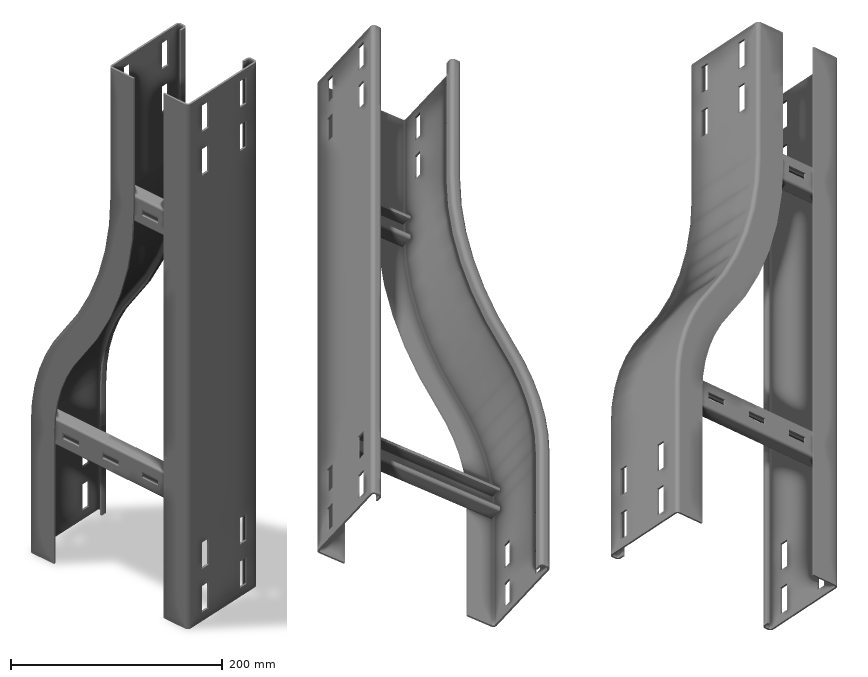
import cadquery as cq
import math

length = 600.0
width = length / 3
depth = length / 6

sheet = 2.0
bend_radius = 2 * sheet

front_flange = 31.0
back_flange = 11.5
return_lip = 9.0

straight_length = 150.0
rail_offset = width / 2
lower_bend_radius = 200.0

rail_slot_length = 30.0
rail_slot_width = 9.5
rail_slot_rows = 2
rail_slot_pitch = 50.0
rail_slot_end_gap = 10.0
front_slot_inset = 24.5
back_slot_inset = 21.0

bar_height = 30.0
bar_depth = 15.5
bar_lip = 5.0
bar_bend_radius = 2.15
bar_end_gap = 3.0
bar_slot_length = 20.5
bar_slot_width = 7.0
bar_slot_pitch = 50.0
lower_bar_slots = 3
upper_bar_slots = 1

left_face = -width / 2
right_face = width / 2
front_face = -depth / 2
back_face = depth / 2
bar_front = front_face + sheet
upper_bar_z = length - straight_length
lower_bar_z = straight_length


def folded_section(workplane, outer_points, outer_radius):
    """Closed outline of a sheet folded through right angles, always turning left.

    outer_points run along the outer side of the sheet, from one free edge to the other.
    """
    outer = [cq.Vector(x, y) for x, y in outer_points]
    directions = [(end - start).normalized() for start, end in zip(outer, outer[1:])]
    normals = [cq.Vector(-d.y, d.x) for d in directions]
    steps_in = [normals[0]] + [a + b for a, b in zip(normals, normals[1:])] + [normals[-1]]
    inner = [point + step * sheet for point, step in zip(outer, steps_in)]

    def trace(outline, points, radius, turn):
        for before, corner, after in zip(points, points[1:], points[2:]):
            start = corner + (before - corner).normalized() * radius
            end = corner + (after - corner).normalized() * radius
            outline = outline.lineTo(start.x, start.y).radiusArc((end.x, end.y), turn * radius)
        return outline.lineTo(points[-1].x, points[-1].y)

    outline = workplane.moveTo(outer[0].x, outer[0].y)
    outline = trace(outline, outer, outer_radius, -1)
    inner.reverse()
    outline = outline.lineTo(inner[0].x, inner[0].y)
    outline = trace(outline, inner, outer_radius - sheet, 1)
    return outline.close()


def rail_section():
    """Section of the right rail, its wall along the right face."""
    return folded_section(
        cq.Workplane("XY"),
        [
            (right_face - front_flange, front_face),
            (right_face, front_face),
            (right_face, back_face),
            (right_face - back_flange, back_face),
            (right_face - back_flange, back_face - return_lip),
        ],
        bend_radius,
    )


def rail_slots(wall_x, end_z, inward):
    """Cutters for the four slots near one end; inward is +1 or -1 along Z."""
    first = end_z + inward * (rail_slot_end_gap + rail_slot_length / 2)
    centres = [
        (y, first + inward * row * rail_slot_pitch)
        for y in (front_face + front_slot_inset, back_face - back_slot_inset)
        for row in range(rail_slot_rows)
    ]
    return (
        cq.Workplane("YZ", origin=(wall_x, 0, 0))
        .pushPoints(centres)
        .rect(rail_slot_width, rail_slot_length)
        .extrude(sheet, both=True)
    )


def straight_rail():
    rail = rail_section().extrude(length)
    rail = rail.cut(rail_slots(right_face, 0, 1))
    return rail.cut(rail_slots(right_face, length, -1))


def s_bend_path():
    """Outer edge of the offset rail: straight, two tangent arcs, straight."""
    run = length - 2 * straight_length
    bend_angle = 2 * math.atan(rail_offset / run)
    upper_bend_radius = run / math.sin(bend_angle) - lower_bend_radius
    lower_centre_x = left_face + lower_bend_radius
    upper_centre_x = left_face + rail_offset - upper_bend_radius
    upper_start_z = length - straight_length

    def lower_point(angle):
        return (
            lower_centre_x - lower_bend_radius * math.cos(angle),
            straight_length + lower_bend_radius * math.sin(angle),
        )

    def upper_point(angle):
        return (
            upper_centre_x + upper_bend_radius * math.cos(angle),
            upper_start_z - upper_bend_radius * math.sin(angle),
        )

    return (
        cq.Workplane("XZ")
        .moveTo(left_face, 0)
        .lineTo(left_face, straight_length)
        .threePointArc(lower_point(bend_angle / 2), lower_point(bend_angle))
        .threePointArc(upper_point(bend_angle / 2), (left_face + rail_offset, upper_start_z))
        .lineTo(left_face + rail_offset, length)
    )


def offset_rail():
    section = rail_section().val().mirror("YZ")
    rail = cq.Workplane("XY").add(section).toPending().sweep(s_bend_path())
    rail = rail.cut(rail_slots(left_face, 0, 1))
    return rail.cut(rail_slots(left_face + rail_offset, length, -1))


def cross_bar(rail_face, centre_z, slot_count):
    """Channel between the two rail walls, resting on the inside of both front flanges."""
    start_x = rail_face + sheet + bar_end_gap
    end_x = right_face - sheet - bar_end_gap
    half_height = bar_height / 2
    bar_back = bar_front + bar_depth
    section = folded_section(
        cq.Workplane("YZ", origin=(start_x, 0, centre_z)),
        [
            (bar_back, half_height - bar_lip),
            (bar_back, half_height),
            (bar_front, half_height),
            (bar_front, -half_height),
            (bar_back, -half_height),
            (bar_back, -half_height + bar_lip),
        ],
        bar_bend_radius,
    )
    slot_centres = [
        (right_face - (index + 1) * bar_slot_pitch, centre_z) for index in range(slot_count)
    ]
    slots = (
        cq.Workplane("XZ", origin=(0, bar_front, 0))
        .pushPoints(slot_centres)
        .rect(bar_slot_length, bar_slot_width)
        .extrude(sheet, both=True)
    )
    return section.extrude(end_x - start_x).cut(slots)


right_rail = straight_rail()
left_rail = offset_rail()
bars = [
    cross_bar(left_face, lower_bar_z, lower_bar_slots),
    cross_bar(left_face + rail_offset, upper_bar_z, upper_bar_slots),
]

result = cq.Compound.makeCompound(
    [right_rail.val(), left_rail.val(), *[bar.val() for bar in bars]]
)